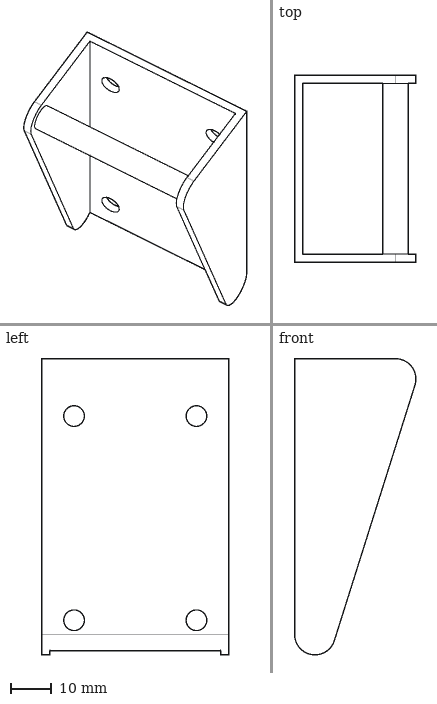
import cadquery as cq
import math

depth = 29.8
width = 45.9
height = 72.6

wall = 2.0
corner_radius = 5.0
rod_diameter = 6.3
hole_diameter = 5.0
hole_spacing_y = 30.0
hole_spacing_z = 50.0
top_hole_drop = 14.1

nose_x = depth - corner_radius
nose_z = height - corner_radius
toe_x = corner_radius
toe_z = corner_radius


def side_profile():
    """Cheek outline: straight back and top, sloped front tangent to both rounds."""
    slope = math.atan2(nose_z - toe_z, nose_x - toe_x)

    def on_round(center_x, center_z, angle):
        return (
            center_x + corner_radius * math.cos(angle),
            center_z + corner_radius * math.sin(angle),
        )

    front_normal = slope - math.pi / 2
    nose_middle = (front_normal + math.pi / 2) / 2
    toe_middle = (front_normal - math.pi) / 2
    return (
        cq.Workplane("XZ", origin=(0, width / 2, 0))
        .moveTo(0, toe_z)
        .lineTo(0, height)
        .lineTo(nose_x, height)
        .threePointArc(
            on_round(nose_x, nose_z, nose_middle),
            on_round(nose_x, nose_z, front_normal),
        )
        .lineTo(*on_round(toe_x, toe_z, front_normal))
        .threePointArc(on_round(toe_x, toe_z, toe_middle), (0, toe_z))
        .close()
    )


def bracket():
    """Back plate with two cheeks; the plate's lower edge follows the toe round."""
    inner_width = width - 2 * wall
    cavity = cq.Workplane("XY").box(depth, inner_width, height, centered=(False, True, False))
    return side_profile().extrude(width).cut(cavity.translate((wall, 0, 0)))


def rod():
    """Round bar joining the cheeks at the nose, ending flush with their outer faces."""
    return (
        cq.Workplane("XZ", origin=(nose_x, width / 2, nose_z))
        .circle(rod_diameter / 2)
        .extrude(width)
    )


def mounting_holes():
    """Four through holes in the back plate."""
    middle_z = height - top_hole_drop - hole_spacing_z / 2
    return (
        cq.Workplane("YZ", origin=(0, 0, middle_z))
        .rarray(hole_spacing_y, hole_spacing_z, 2, 2)
        .circle(hole_diameter / 2)
        .extrude(wall)
    )


result = bracket().union(rod()).cut(mounting_holes())